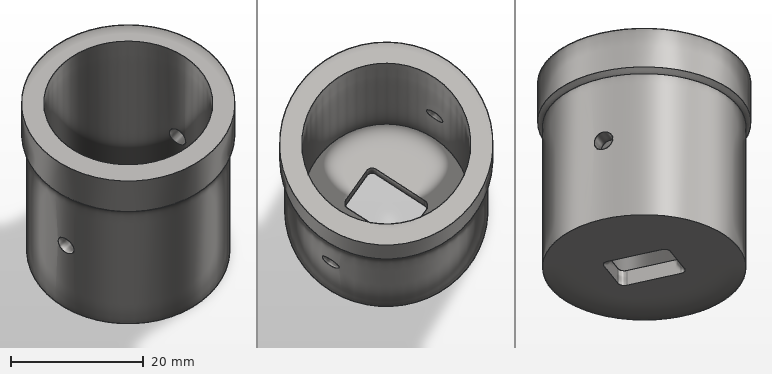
import cadquery as cq

height = 32.4
body_diameter = 30.68
collar_diameter = 32.17
collar_height = 6.8
collar_chamfer = (collar_diameter - body_diameter) / 2

bore_diameter = 25.47
floor_thickness = 2.6
window_length = 10.9
window_width = 7.52
window_corner_radius = 1.0

cross_hole_diameter = 3.0
cross_hole_x = -0.23
cross_hole_z = 13.85


def make_sleeve():
    """Revolve the stepped outside, with a conical underside on the collar."""
    body_radius = body_diameter / 2
    collar_radius = collar_diameter / 2
    collar_bottom = height - collar_height
    return (
        cq.Workplane("XZ")
        .lineTo(body_radius, 0)
        .lineTo(body_radius, collar_bottom - collar_chamfer)
        .lineTo(collar_radius, collar_bottom)
        .lineTo(collar_radius, height)
        .lineTo(0, height)
        .close()
        .revolve(360, (0, 0, 0), (0, 1, 0))
    )


def make_bore():
    return (
        cq.Workplane("XY", origin=(0, 0, floor_thickness))
        .circle(bore_diameter / 2)
        .extrude(height - floor_thickness)
    )


def make_window():
    return (
        cq.Workplane("XY")
        .rect(window_length, window_width)
        .extrude(floor_thickness)
        .edges("|Z")
        .fillet(window_corner_radius)
    )


def make_cross_hole():
    return (
        cq.Workplane("XZ", origin=(cross_hole_x, 0, cross_hole_z))
        .circle(cross_hole_diameter / 2)
        .extrude(body_diameter / 2, both=True)
    )


result = make_sleeve().cut(make_bore()).cut(make_window()).cut(make_cross_hole())